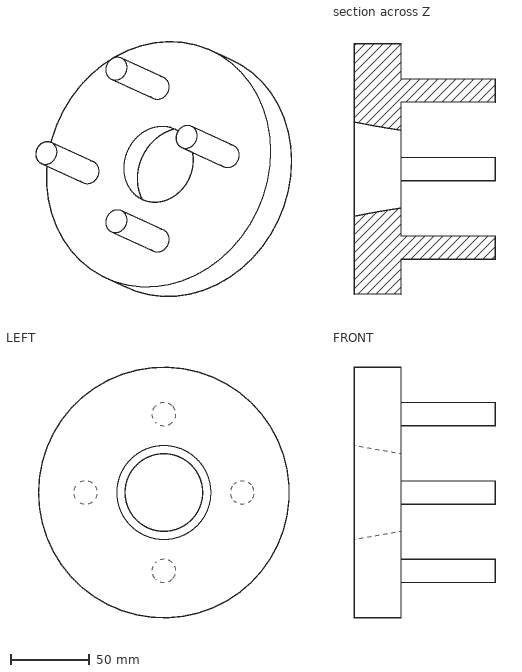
import cadquery as cq
import math

disc_diameter = 160.0
disc_thickness = 30.0

bore_mouth_diameter = 60.0
bore_taper_angle = 10.0

pin_diameter = 15.0
pin_length = 60.0
pin_circle_diameter = 100.0
pin_count = 4

bore_mouth_radius = bore_mouth_diameter / 2
bore_throat_radius = bore_mouth_radius - disc_thickness * math.tan(math.radians(bore_taper_angle))

AXIS = cq.Vector(1, 0, 0)


def make_disc():
    """Plain round disc with its front face at X = 0."""
    return cq.Workplane("YZ").circle(disc_diameter / 2).extrude(disc_thickness)


def make_tapered_bore():
    """Cone that cuts the central through bore."""
    cone = cq.Solid.makeCone(
        bore_mouth_radius,
        bore_throat_radius,
        disc_thickness,
        pnt=cq.Vector(0, 0, 0),
        dir=AXIS,
    )
    return cq.Workplane(obj=cone)


def make_pins():
    """Pins evenly spaced on the pin circle, standing on the back face of the disc."""
    return (
        cq.Workplane("YZ", origin=(disc_thickness, 0, 0))
        .polarArray(pin_circle_diameter / 2, 0, 360, pin_count)
        .circle(pin_diameter / 2)
        .extrude(pin_length)
    )


result = make_disc().cut(make_tapered_bore()).union(make_pins())